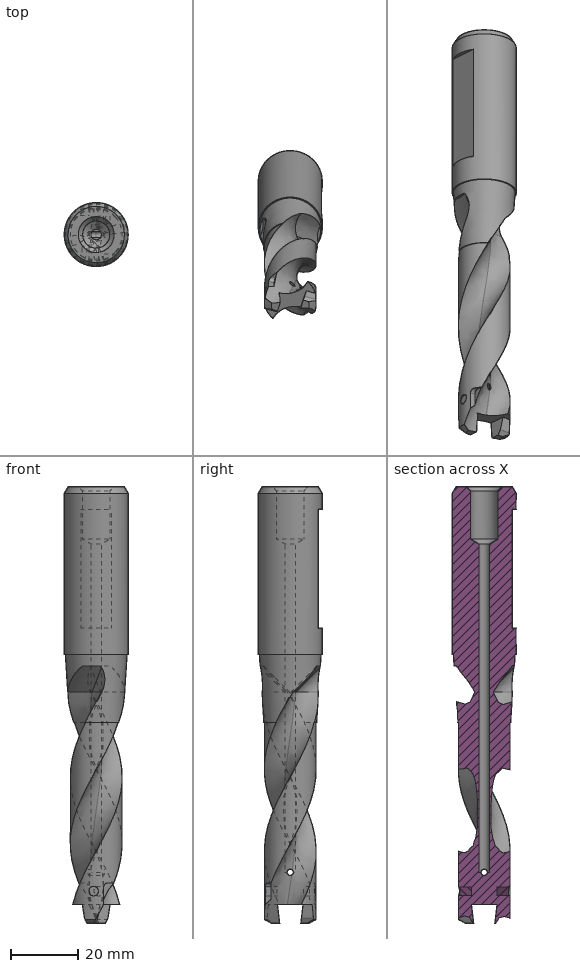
import cadquery as cq
import math

LENGTH = 129.7
SHANK_RADIUS = 19.0 / 2
DRILL_RADIUS = 15.4 / 2
MARGIN = 1.3

SHANK_BOTTOM = 79.9
SHANK_CHAMFER_WIDTH = 1.2
SHANK_CHAMFER_HEIGHT = 2.0
NECK_TOP_RADIUS = 9.2
NECK_BOTTOM = 59.7
NECK_BOTTOM_RADIUS = 7.9
FLAT_BOTTOM = 87.7
FLAT_TOP = 123.0
FLAT_DEPTH = 1.2

BORE_RADIUS = 4.0
BORE_CHAMFER = 1.3
BORE_DEPTH = 15.5
BORE_CONE_ANGLE = 118.0
CHANNEL_RADIUS = 1.5
OUTLET_RADIUS = 0.9
OUTLET_Z = 15.2

FLUTE_PITCH = 88.2
FLUTE_X_LEVEL = 11.5
FLUTE_STRAIGHT_Z = 68.7
SPINE_RADIUS = 2.1
FLUTE_RADIUS = 7.3
RUNOUT_HEIGHT = 7.8
RUNOUT_OUTWARD = 4.4
RUNOUT_SIDEWAYS = 7.0

TIP_CONE_RADIUS = 5.6
TIP_CONE_HEIGHT = 1.2
SEAT_Z = 5.6
SEAT_HALF_TOP = 3.8
SEAT_HALF_BOTTOM = 3.1
PRONG_HALF_TOP = 4.2
PRONG_HALF_BOTTOM = 3.5
PRONG_CHAMFER_WIDTH = 0.8
PRONG_CHAMFER_HEIGHT = 1.5
RELIEF_X = 2.2
RELIEF_Y = 5.7
RELIEF_TOP = 12.0
RELIEF_CORNER = 1.3

PIN_RADIUS = 1.4
PIN_X = -0.8
PIN_Z = 9.6
PIN_OUTER = 7.3
PIN_INNER = 3.9

HALF_TURNS = (0.0, 180.0)


def about_axis(shape, angle):
    """Turn a shape about the drill axis."""
    return shape.rotate((0, 0, 0), (0, 0, 1), angle)


def make_blank():
    outline = (
        cq.Workplane("XZ")
        .moveTo(0, 0)
        .lineTo(TIP_CONE_RADIUS, 0)
        .lineTo(DRILL_RADIUS, TIP_CONE_HEIGHT)
        .lineTo(DRILL_RADIUS, NECK_BOTTOM)
        .lineTo(NECK_BOTTOM_RADIUS, NECK_BOTTOM)
        .lineTo(NECK_TOP_RADIUS, SHANK_BOTTOM)
        .lineTo(SHANK_RADIUS, SHANK_BOTTOM)
        .lineTo(SHANK_RADIUS, LENGTH - SHANK_CHAMFER_HEIGHT)
        .lineTo(SHANK_RADIUS - SHANK_CHAMFER_WIDTH, LENGTH)
        .lineTo(0, LENGTH)
        .close()
    )
    return outline.revolve(360, (0, 0, 0), (0, 1, 0))


def make_clamping_flat():
    height = FLAT_TOP - FLAT_BOTTOM
    slab = cq.Workplane("XY").box(2 * SHANK_RADIUS, SHANK_RADIUS, height, centered=(True, False, False))
    return slab.translate((0, SHANK_RADIUS - FLAT_DEPTH, FLAT_BOTTOM))


def make_coolant_bore():
    cone_top = LENGTH - BORE_DEPTH
    cone_height = (BORE_RADIUS - CHANNEL_RADIUS) / math.tan(math.radians(BORE_CONE_ANGLE / 2))
    outline = (
        cq.Workplane("XZ")
        .moveTo(0, OUTLET_Z)
        .lineTo(CHANNEL_RADIUS, OUTLET_Z)
        .lineTo(CHANNEL_RADIUS, cone_top - cone_height)
        .lineTo(BORE_RADIUS, cone_top)
        .lineTo(BORE_RADIUS, LENGTH - BORE_CHAMFER)
        .lineTo(BORE_RADIUS + BORE_CHAMFER, LENGTH)
        .lineTo(0, LENGTH)
        .close()
    )
    bore = outline.revolve(360, (0, 0, 0), (0, 1, 0))
    outlet = cq.Workplane("YZ").center(0, OUTLET_Z).circle(OUTLET_RADIUS).extrude(DRILL_RADIUS, both=True)
    return bore.union(outlet)


def flute_section(plane):
    """U-shaped flute opening toward local +X, its round floor split at the spine."""
    centre_x = SPINE_RADIUS + FLUTE_RADIUS
    bend = FLUTE_RADIUS * math.sqrt(0.5)
    outer_x = centre_x + SHANK_RADIUS
    return (
        cq.Workplane(plane)
        .moveTo(outer_x, -FLUTE_RADIUS)
        .lineTo(centre_x, -FLUTE_RADIUS)
        .threePointArc((centre_x - bend, -bend), (SPINE_RADIUS, 0))
        .threePointArc((centre_x - bend, bend), (centre_x, FLUTE_RADIUS))
        .lineTo(outer_x, FLUTE_RADIUS)
        .close()
    )


def make_flute():
    """Helical twist and straight run-out of one flute, as two cutting shapes."""
    bottom = -MARGIN
    height = FLUTE_STRAIGHT_Z - bottom
    start_angle = 360 * (bottom - FLUTE_X_LEVEL) / FLUTE_PITCH
    section = flute_section(cq.Plane(origin=(0, 0, bottom)))
    twist = about_axis(section.twistExtrude(height, 360 * height / FLUTE_PITCH), start_angle)

    section = flute_section(cq.Plane(origin=(0, 0, FLUTE_STRAIGHT_Z)))
    slide = cq.Vector(RUNOUT_OUTWARD, RUNOUT_SIDEWAYS, RUNOUT_HEIGHT)
    runout = cq.Workplane(cq.Solid.extrudeLinear(section.val(), [], slide))
    end_angle = 360 * (FLUTE_STRAIGHT_Z - FLUTE_X_LEVEL) / FLUTE_PITCH
    return twist, about_axis(runout, end_angle)


def make_insert_seat():
    return (
        cq.Workplane("YZ")
        .moveTo(-SEAT_HALF_BOTTOM, 0)
        .lineTo(-SEAT_HALF_TOP, SEAT_Z)
        .lineTo(SEAT_HALF_TOP, SEAT_Z)
        .lineTo(SEAT_HALF_BOTTOM, 0)
        .close()
        .extrude(SHANK_RADIUS, both=True)
    )


def make_prong_flank():
    """Waste on the +X side of both prongs."""
    return (
        cq.Workplane("XZ")
        .moveTo(PRONG_HALF_BOTTOM - PRONG_CHAMFER_WIDTH, 0)
        .lineTo(PRONG_HALF_BOTTOM, PRONG_CHAMFER_HEIGHT)
        .lineTo(PRONG_HALF_TOP, SEAT_Z)
        .lineTo(SHANK_RADIUS, SEAT_Z)
        .lineTo(SHANK_RADIUS, 0)
        .close()
        .extrude(SHANK_RADIUS, both=True)
    )


def make_relief():
    """Chip relief on the leading edge of the -Y land."""
    return (
        cq.Workplane("XY")
        .box(SHANK_RADIUS, SHANK_RADIUS, RELIEF_TOP, centered=False)
        .edges("|Y and <X and >Z")
        .fillet(RELIEF_CORNER)
        .translate((RELIEF_X, -RELIEF_Y - SHANK_RADIUS, 0))
    )


def make_pin_cylinder(outer):
    """Cylinder along Y in the -Y land, from the pin's inner end out to the given distance."""
    plane = cq.Plane(origin=(PIN_X, -PIN_INNER, PIN_Z), xDir=(1, 0, 0), normal=(0, -1, 0))
    return cq.Workplane(plane).circle(PIN_RADIUS).extrude(outer - PIN_INNER)


def make_drill():
    drill = make_blank().cut(make_clamping_flat())
    tools = [*make_flute(), make_prong_flank(), make_relief(), make_pin_cylinder(SHANK_RADIUS)]
    for angle in HALF_TURNS:
        for tool in tools:
            drill = drill.cut(about_axis(tool, angle))
    return drill.cut(make_insert_seat()).cut(make_coolant_bore())


drill = make_drill()
pins = [about_axis(make_pin_cylinder(PIN_OUTER), angle) for angle in HALF_TURNS]

result = cq.Compound.makeCompound([drill.val(), *[pin.val() for pin in pins]])